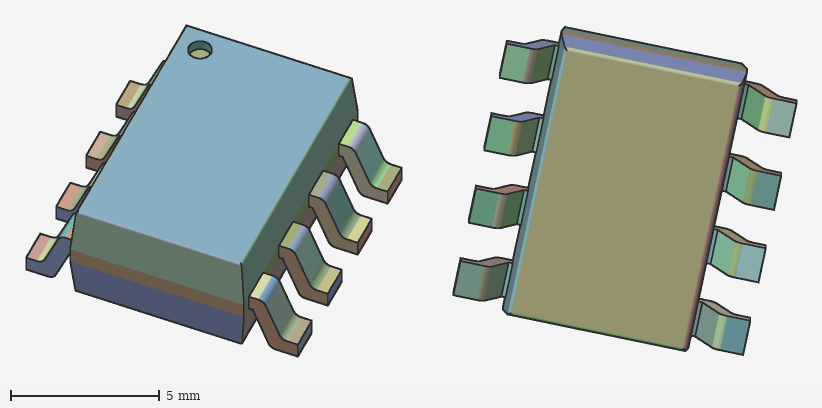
import cadquery as cq
import math

package_width = 6.4
package_length = 9.66
package_height = 4.0
draft_angle = 5.0
top_rim_radius = 0.08
bottom_rim_radius = 0.12

mark_diameter = 0.8
mark_depth = 0.4
mark_inset = 1.04

leads_per_row = 4
lead_pitch = 2.54
lead_width = 1.2
lead_thickness = 0.6
lead_span = 10.0
lead_top = 2.22
lead_angle = 68.0
foot_top_length = 0.6
bend_radius = 0.3

lead_bottom = lead_top - lead_thickness


def drafted_block(start_z, direction, height):
    """Block that starts as the full package outline and narrows upward (1) or downward (-1)."""
    plane = cq.Plane(origin=(0, 0, start_z), xDir=(1, 0, 0), normal=(0, 0, direction))
    return cq.Workplane(plane).rect(package_width, package_length).extrude(height, taper=draft_angle)


def make_package():
    """Moulded package with rounded rims and the pin 1 mark."""
    upper = drafted_block(lead_top, 1, package_height - lead_top)
    upper = upper.faces(">Z").edges().fillet(top_rim_radius)
    lower = drafted_block(lead_bottom, -1, lead_bottom)
    lower = lower.faces("<Z").edges().fillet(bottom_rim_radius)
    band = (
        cq.Workplane("XY", origin=(0, 0, lead_bottom))
        .rect(package_width, package_length)
        .extrude(lead_thickness)
    )
    mark_x = mark_inset - package_width / 2
    mark_y = package_length / 2 - mark_inset
    mark = (
        cq.Workplane("XY", origin=(mark_x, mark_y, package_height))
        .circle(mark_diameter / 2)
        .extrude(-mark_depth)
    )
    return band.union(upper).union(lower).cut(mark)


def make_lead(side, y):
    """Gull-wing lead centred on y, in the -X row (side -1) or the +X row (side 1)."""
    slope = math.radians(lead_angle)
    leg_run = lead_bottom / math.tan(slope)
    corner_shift = lead_thickness * math.tan(slope / 2)

    tip_x = -lead_span / 2
    root_x = -package_width / 2
    outer_low = (tip_x + foot_top_length, lead_thickness)
    outer_high = (outer_low[0] + leg_run, lead_top)
    inner_high = (outer_high[0] + corner_shift, lead_bottom)
    inner_low = (outer_low[0] + corner_shift, 0)

    lead = (
        cq.Workplane("XZ", origin=(0, y, 0))
        .polyline([
            (tip_x, 0),
            (tip_x, lead_thickness),
            outer_low,
            outer_high,
            (root_x, lead_top),
            (root_x, lead_bottom),
            inner_high,
            inner_low,
        ])
        .close()
        .extrude(lead_width / 2, both=True)
    )
    for corner_x, corner_z in (outer_low, outer_high, inner_low):
        bend = cq.selectors.NearestToPointSelector((corner_x, y, corner_z))
        lead = lead.edges("|Y").edges(bend).fillet(bend_radius)

    return lead if side < 0 else lead.mirror("YZ")


package = make_package()

first_lead_y = -lead_pitch * (leads_per_row - 1) / 2
leads = []
for side in (-1, 1):
    for index in range(leads_per_row):
        leads.append(make_lead(side, first_lead_y + index * lead_pitch))

result = cq.Compound.makeCompound([package.val(), *[lead.val() for lead in leads]])